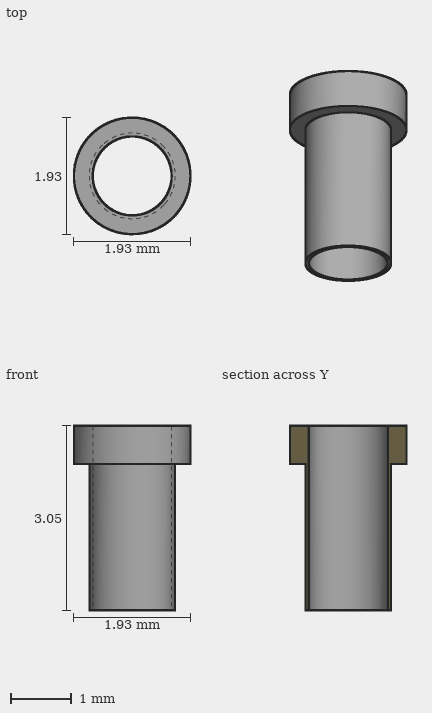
import cadquery as cq

total_height = 3.05
flange_diameter = 1.93
flange_height = 0.635
barrel_diameter = 1.42
bore_diameter = 1.3

barrel_height = total_height - flange_height


def make_barrel():
    """Thin-walled tube body below the flange, still solid."""
    return cq.Workplane("XY").circle(barrel_diameter / 2).extrude(barrel_height)


def make_flange():
    """Wider collar at the top end of the barrel, still solid."""
    return (
        cq.Workplane("XY")
        .workplane(offset=barrel_height)
        .circle(flange_diameter / 2)
        .extrude(flange_height)
    )


def make_bore():
    """Through hole along the whole axis."""
    return cq.Workplane("XY").circle(bore_diameter / 2).extrude(total_height)


result = make_barrel().union(make_flange()).cut(make_bore())